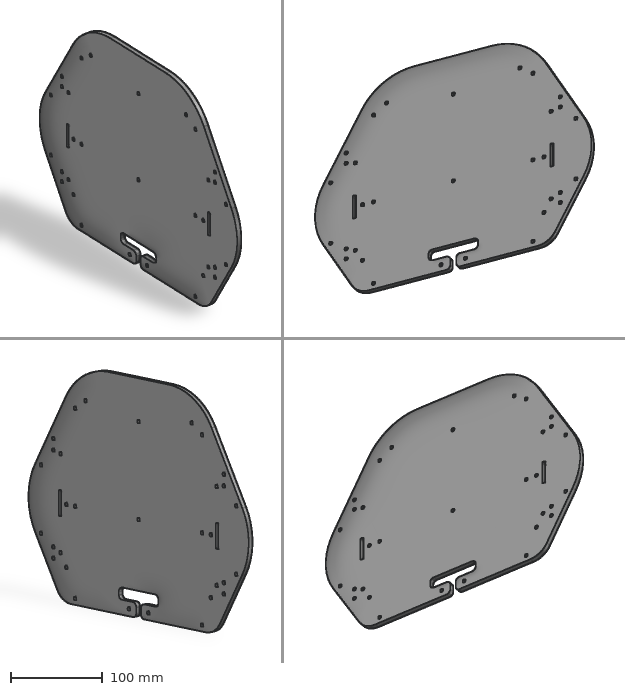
import cadquery as cq
import math

plate_length = 340.0
plate_height = 267.2
thickness = 6.0
hexagon_corner_radius = 75.0
bottom_corner_radius = 25.0

cos_30 = math.cos(math.radians(30))
hexagon_corner_x = plate_length / 2 + hexagon_corner_radius * (1 / cos_30 - 1)
top_z = hexagon_corner_x * cos_30
bottom_z = top_z - plate_height
bottom_corner_x = hexagon_corner_x + bottom_z / math.tan(math.radians(60))

hole_diameter = 4.0
upper_row_z = 109.0
lower_row_z = -102.7
main_column_x = 98.0
outer_column_x = 111.5
edge_pair_x = 131.5
centre_holes = [(0, 0), (0, upper_row_z)]
side_holes = [
    (main_column_x, upper_row_z),
    (main_column_x, 0),
    (main_column_x, lower_row_z),
    (outer_column_x, 0),
    (outer_column_x, -70.0),
    (82.0, 120.0),
    (edge_pair_x, 70.5),
    (edge_pair_x, 57.5),
    (edge_pair_x, -50.3),
    (edge_pair_x, -63.0),
]
four_way_holes = [(150.5, 38.0), (120.5, 55.0)]
tab_hole = (15.0, -101.5)

side_slot_x = 121.5
side_slot_length = 29.0
side_slot_width = 4.0
side_slot_corner_radius = 1.5

window_width = 61.0
window_height = 13.5
window_top_z = -79.5
window_corner_radius = 5.0
mouth_width = 7.0
tab_corner_radius = 5.0


def make_plate():
    outline = [
        (hexagon_corner_x, 0),
        (hexagon_corner_x / 2, top_z),
        (-hexagon_corner_x / 2, top_z),
        (-hexagon_corner_x, 0),
        (-bottom_corner_x, bottom_z),
        (bottom_corner_x, bottom_z),
    ]
    plate = cq.Workplane("XZ").polyline(outline).close().extrude(thickness / 2, both=True)
    plate = plate.edges("|Y and (not <Z)").fillet(hexagon_corner_radius)
    return plate.edges("|Y and <Z").fillet(bottom_corner_radius)


def make_holes():
    points = centre_holes.copy()
    for x, z in side_holes + four_way_holes + [tab_hole]:
        points += [(x, z), (-x, z)]
    for x, z in four_way_holes:
        points += [(x, -z), (-x, -z)]
    holes = cq.Workplane("XZ").pushPoints(points).circle(hole_diameter / 2)
    return holes.extrude(thickness, both=True)


def make_side_slots():
    slots = cq.Workplane("XZ").pushPoints([(side_slot_x, 0), (-side_slot_x, 0)])
    slots = slots.rect(side_slot_width, side_slot_length).extrude(thickness, both=True)
    return slots.edges("|Y").fillet(side_slot_corner_radius)


def make_window():
    window = cq.Workplane("XZ").center(0, window_top_z - window_height / 2)
    window = window.rect(window_width, window_height).extrude(thickness, both=True)
    return window.edges("|Y").fillet(window_corner_radius)


def cut_mouth(plate):
    """Open the window to the bottom edge and round the four tab corners."""
    mouth_height = window_top_z - window_height / 2 - bottom_z
    mouth = cq.Workplane("XZ").center(0, bottom_z + mouth_height / 2)
    mouth = mouth.rect(mouth_width, mouth_height).extrude(thickness, both=True)
    tab_corners = cq.selectors.BoxSelector(
        (-mouth_width, -thickness, bottom_z - mouth_width),
        (mouth_width, thickness, window_top_z - window_height / 2),
    )
    return plate.cut(mouth).edges("|Y").edges(tab_corners).fillet(tab_corner_radius)


result = cut_mouth(make_plate().cut(make_window()))
result = result.cut(make_side_slots()).cut(make_holes())